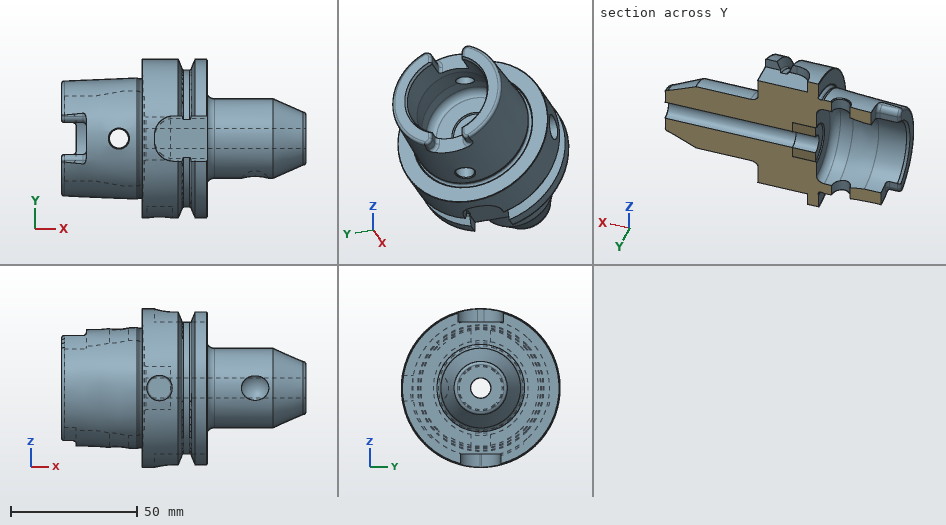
import cadquery as cq
import math

TOTAL_LENGTH = 96.9
FLANGE_START = 32.0
FLANGE_END = 57.85
GROOVE_CENTER = 49.6
NECK_START = 60.7
NOSE_START = 83.8

SHANK_END_RADIUS = 22.8
SHANK_BASE_RADIUS = 24.0
SHANK_TAPER_END = 29.8
SHANK_RIM_FILLET = 1.2
RELIEF_DEPTH = 0.3
RELIEF_START = 30.7
FACE_RELIEF_RADIUS = 25.1
FACE_RELIEF_DEPTH = 0.3
FACE_RELIEF_FILLET = 1.0

FLANGE_RADIUS = 31.5
FLANGE_FRONT_CHAMFER = 0.2
FLANGE_REAR_CHAMFER = 0.5
GROOVE_TOP_WIDTH = 6.7
GROOVE_BOTTOM_WIDTH = 3.7
GROOVE_RADIUS = 27.2
GROOVE_CORNER_RADIUS = 0.7

NECK_RADIUS = 15.8
NECK_FOOT_RADIUS = 17.3
NOSE_END_RADIUS = 10.6
NOSE_FILLET = 1.3

BORE_RADIUS = 16.8
BORE_MOUTH_RADIUS = 17.4
BORE_MOUTH_LENGTH = 1.2
BORE_LAND_END = 12.9
BORE_CONE_END = 24.4
BORE_INNER_RADIUS = 18.8
BORE_DEPTH = 32.9
BORE_FLOOR_FILLET = 3.2
BUSHING_RADIUS = 8.5
BUSHING_LENGTH = 9.7
SEAT_CHAMFER = 0.5
BUSHING_START = BORE_DEPTH + SEAT_CHAMFER
TOOL_BORE_RADIUS = 4.0

SLOT_HALF_WIDTH = 6.3
TOP_SLOT_DEPTH = 9.9
BOTTOM_SLOT_DEPTH = 5.8
SLOT_FLARE_RADIUS = 2.4
SLOT_FLARE_START = 18.4
SLOT_FLOOR_FILLET = 1.4

CROSS_HOLE_X = 22.8
CROSS_HOLE_RADIUS = 3.8
CROSS_HOLE_CHAMFER = 0.4

TOP_KEYWAY_WIDTH = 18.0
BOTTOM_KEYWAY_WIDTH = 16.0
KEYWAY_FLOOR = 26.2
KEYWAY_START = 36.8
KEYWAY_CORNER_RADIUS = 7.8

CHIP_HOLE_X = 38.9
CHIP_HOLE_RADIUS = 5.0
CHIP_HOLE_DEPTH = 4.65
CHIP_HOLE_FILLET = 0.4

DIMPLE_X = 76.7
DIMPLE_RADIUS = 6.4
DIMPLE_CENTER_OFFSET = 19.2


def axial_cylinder(start, length, radius):
    """Cylinder along +X."""
    return cq.Workplane("YZ", origin=(start, 0, 0)).circle(radius).extrude(length)


def turn(profile):
    """Revolve a half profile about the X axis."""
    return profile.revolve(360, (0, 0, 0), (1, 0, 0))


def turned_blank():
    """Outer shape of the holder, revolved about X without the gripper groove."""
    face_relief_floor = FLANGE_START + FACE_RELIEF_DEPTH
    relief_radius = SHANK_BASE_RADIUS - RELIEF_DEPTH
    foot_length = NECK_START - FLANGE_END
    foot_height = NECK_FOOT_RADIUS - NECK_RADIUS
    foot_radius = (foot_length**2 + foot_height**2) / (2 * foot_height)
    half_angle = math.atan(foot_height / foot_length)
    foot_mid = (
        NECK_START - foot_radius * math.sin(half_angle),
        NECK_RADIUS + foot_radius * (1 - math.cos(half_angle)),
    )
    profile = (
        cq.Workplane("XY")
        .moveTo(0, 0)
        .lineTo(0, SHANK_END_RADIUS)
        .lineTo(SHANK_TAPER_END, SHANK_BASE_RADIUS)
        .lineTo(RELIEF_START, relief_radius)
        .lineTo(face_relief_floor - FACE_RELIEF_FILLET, relief_radius)
        .radiusArc((face_relief_floor, relief_radius + FACE_RELIEF_FILLET), -FACE_RELIEF_FILLET)
        .lineTo(FLANGE_START, FACE_RELIEF_RADIUS)
        .lineTo(FLANGE_START, FLANGE_RADIUS - FLANGE_FRONT_CHAMFER)
        .lineTo(FLANGE_START + FLANGE_FRONT_CHAMFER, FLANGE_RADIUS)
        .lineTo(FLANGE_END - FLANGE_REAR_CHAMFER, FLANGE_RADIUS)
        .lineTo(FLANGE_END, FLANGE_RADIUS - FLANGE_REAR_CHAMFER)
        .lineTo(FLANGE_END, NECK_FOOT_RADIUS)
        .threePointArc(foot_mid, (NECK_START, NECK_RADIUS))
        .lineTo(NOSE_START, NECK_RADIUS)
        .lineTo(TOTAL_LENGTH - NOSE_FILLET, NOSE_END_RADIUS)
        .radiusArc((TOTAL_LENGTH, NOSE_END_RADIUS - NOSE_FILLET), NOSE_FILLET)
        .lineTo(TOTAL_LENGTH, 0)
        .close()
    )
    return turn(profile)


def gripper_groove():
    """Trapezoidal ring groove around the flange with rounded floor corners."""
    top = GROOVE_TOP_WIDTH / 2
    bottom = GROOVE_BOTTOM_WIDTH / 2
    floor = bottom - GROOVE_CORNER_RADIUS
    shoulder = GROOVE_RADIUS + GROOVE_CORNER_RADIUS
    profile = (
        cq.Workplane("XY", origin=(GROOVE_CENTER, 0, 0))
        .moveTo(-top, FLANGE_RADIUS)
        .lineTo(-bottom, shoulder)
        .radiusArc((-floor, GROOVE_RADIUS), -GROOVE_CORNER_RADIUS)
        .lineTo(floor, GROOVE_RADIUS)
        .radiusArc((bottom, shoulder), -GROOVE_CORNER_RADIUS)
        .lineTo(top, FLANGE_RADIUS)
        .close()
    )
    return turn(profile)


def shank_bore():
    """Blind bore with a chamfered mouth, a widened inner part and a rounded floor."""
    profile = (
        cq.Workplane("XY")
        .moveTo(0, 0)
        .lineTo(0, BORE_MOUTH_RADIUS)
        .lineTo(BORE_MOUTH_LENGTH, BORE_RADIUS)
        .lineTo(BORE_LAND_END, BORE_RADIUS)
        .lineTo(BORE_CONE_END, BORE_INNER_RADIUS)
        .lineTo(BORE_DEPTH, BORE_INNER_RADIUS)
        .lineTo(BORE_DEPTH, 0)
        .close()
    )
    bore = turn(profile)
    return bore.faces(">X").edges().fillet(BORE_FLOOR_FILLET)


def bushing_seat():
    """Recess in the bore floor with a chamfered mouth in front of the bushing."""
    profile = (
        cq.Workplane("XY")
        .moveTo(BORE_DEPTH, 0)
        .lineTo(BORE_DEPTH, BUSHING_RADIUS + SEAT_CHAMFER)
        .lineTo(BUSHING_START, BUSHING_RADIUS)
        .lineTo(BUSHING_START + BUSHING_LENGTH, BUSHING_RADIUS)
        .lineTo(BUSHING_START + BUSHING_LENGTH, 0)
        .close()
    )
    return turn(profile)


def driving_slot(depth, side):
    """Slot across the rim whose walls flare out near the taper surface."""
    flare_top = SLOT_FLARE_START + SLOT_FLARE_RADIUS
    outer_half_width = SLOT_HALF_WIDTH + SLOT_FLARE_RADIUS
    clearance = FLANGE_RADIUS
    slot = (
        cq.Workplane("YZ")
        .moveTo(-SLOT_HALF_WIDTH, 0)
        .lineTo(-SLOT_HALF_WIDTH, SLOT_FLARE_START)
        .radiusArc((-outer_half_width, flare_top), -SLOT_FLARE_RADIUS)
        .lineTo(-clearance, flare_top)
        .lineTo(-clearance, clearance)
        .lineTo(clearance, clearance)
        .lineTo(clearance, flare_top)
        .lineTo(outer_half_width, flare_top)
        .radiusArc((SLOT_HALF_WIDTH, SLOT_FLARE_START), -SLOT_FLARE_RADIUS)
        .lineTo(SLOT_HALF_WIDTH, 0)
        .close()
        .extrude(depth)
        .faces(">X")
        .edges()
        .fillet(SLOT_FLOOR_FILLET)
    )
    return slot if side > 0 else slot.mirror("XY")


def keyway(width, side):
    """Flat-floored keyway that runs out through the rear face of the flange."""
    length = FLANGE_END - KEYWAY_START
    slot = (
        cq.Workplane("XY", origin=(KEYWAY_START, 0, KEYWAY_FLOOR))
        .rect(2 * length, width)
        .extrude(FLANGE_RADIUS)
        .translate((length, 0, 0))
        .edges("|Z and <X")
        .fillet(KEYWAY_CORNER_RADIUS)
    )
    return slot if side > 0 else slot.mirror("XY")


def drill_cross_hole(body):
    """Drill through the shank along Z and chamfer both outer rims of the hole."""
    hole = (
        cq.Workplane("XY", origin=(CROSS_HOLE_X, 0, 0))
        .circle(CROSS_HOLE_RADIUS)
        .extrude(SHANK_BASE_RADIUS, both=True)
    )
    rim_box_half = 2 * CROSS_HOLE_RADIUS
    drilled = body.cut(hole)
    for side in (1, -1):
        corner_low = (CROSS_HOLE_X - rim_box_half, -rim_box_half, side * BORE_INNER_RADIUS)
        corner_high = (CROSS_HOLE_X + rim_box_half, rim_box_half, side * FLANGE_RADIUS)
        rim = cq.selectors.BoxSelector(corner_low, corner_high)
        drilled = drilled.edges(rim).chamfer(CROSS_HOLE_CHAMFER)
    return drilled


def chip_hole():
    """Blind hole in the -Y side of the flange with a rounded floor."""
    return (
        cq.Workplane("XZ", origin=(CHIP_HOLE_X, CHIP_HOLE_DEPTH - FLANGE_RADIUS, 0))
        .circle(CHIP_HOLE_RADIUS)
        .extrude(FLANGE_RADIUS)
        .faces(">Y")
        .edges()
        .fillet(CHIP_HOLE_FILLET)
    )


def dimple():
    """Spherical dimple in the -Y side of the neck."""
    return cq.Workplane("XY").sphere(DIMPLE_RADIUS).translate((DIMPLE_X, -DIMPLE_CENTER_OFFSET, 0))


def is_bore_arc(edge):
    """Tell the arcs of the bore from the other edges of the shank end."""
    return edge.geomType() == "CIRCLE" and math.isclose(edge.radius(), BORE_RADIUS, abs_tol=0.01)


def holder():
    """Tool holder body with all of its bores, slots and recesses."""
    body = drill_cross_hole(turned_blank())
    body = body.cut(driving_slot(TOP_SLOT_DEPTH, 1)).cut(driving_slot(BOTTOM_SLOT_DEPTH, -1))
    body = body.cut(axial_cylinder(0, BORE_LAND_END, BORE_RADIUS))
    rim_edges = body.faces("<X").edges().filter(lambda edge: not is_bore_arc(edge))
    body = rim_edges.fillet(SHANK_RIM_FILLET)
    for cutter in (
        gripper_groove(),
        shank_bore(),
        bushing_seat(),
        axial_cylinder(0, TOTAL_LENGTH, TOOL_BORE_RADIUS),
        keyway(TOP_KEYWAY_WIDTH, 1),
        keyway(BOTTOM_KEYWAY_WIDTH, -1),
        chip_hole(),
        dimple(),
    ):
        body = body.cut(cutter)
    return body


def bushing():
    """Ring seated in the bore floor, its hole in line with the tool bore."""
    ring = axial_cylinder(BUSHING_START, BUSHING_LENGTH, BUSHING_RADIUS)
    return ring.cut(axial_cylinder(0, TOTAL_LENGTH, TOOL_BORE_RADIUS))


result = cq.Compound.makeCompound([holder().val(), bushing().val()])